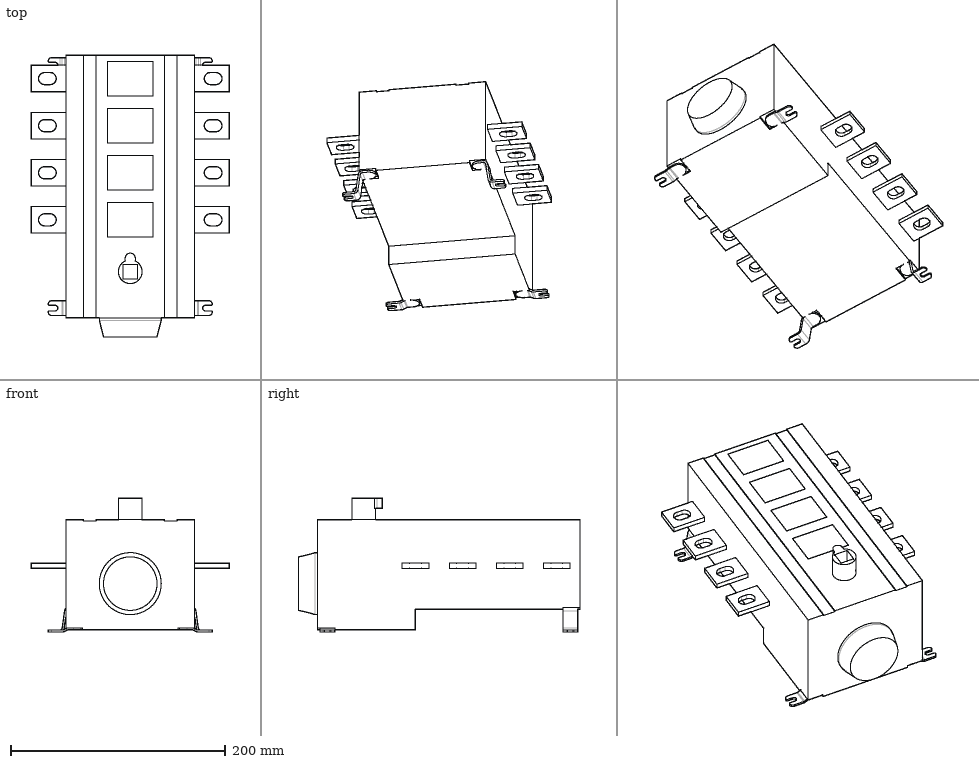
import cadquery as cq
import math

BODY_WIDTH = 120.0
BODY_LENGTH = 245.3
BODY_HEIGHT = 103.0
STRIP = 2.0
BODY_BOTTOM = STRIP
BODY_TOP = BODY_BOTTOM + BODY_HEIGHT
HALF_BODY = BODY_WIDTH / 2
FRONT_BLOCK_LENGTH = 91.3
STEP_HEIGHT = 19.2
REAR_BOTTOM = BODY_BOTTOM + STEP_HEIGHT

GROOVE_INNER = 31.8
GROOVE_OUTER = 43.7
GROOVE_DEPTH = 1.0

POLE_COUNT = 4
POLE_PITCH = 44.0
FIRST_POLE_INSET = 21.8
WINDOW_WIDTH = 42.0
WINDOW_LENGTH = 32.0
WINDOW_DEPTH = 0.3
TAB_SPAN = 185.0
TAB_WIDTH = 25.0
TAB_THICKNESS = 5.0
TAB_BOTTOM = 59.5
TAB_SLOT_X = 77.5
TAB_SLOT_LENGTH = 16.3
TAB_SLOT_WIDTH = 11.0

SHAFT_Y = 43.2
SHAFT_RADIUS = 11.0
SHAFT_TOP = 125.0
SHAFT_HEIGHT = SHAFT_TOP - BODY_TOP
SHAFT_SQUARE = 13.2
NUB_RADIUS = 4.7
NUB_REACH = 17.5
NUB_HEIGHT = 9.5

KNOB_Z = 45.3
KNOB_LENGTH = 18.0
KNOB_RIM = 2.5
KNOB_BASE_RADIUS = 29.0
KNOB_TIP_RADIUS = 25.0

BRACKET_WIDTH = 14.0
BRACKET_INSET = 9.2
FOOT_TIP = 76.5
TONGUE_TIP = 45.8
RECESS_END = 44.5
FRONT_HEEL = 62.6
FRONT_SHOULDER = 58.5
REAR_HEEL = 62.0
REAR_SHOULDER = 59.2
BEND_RADIUS = 2.0
FOOT_SLOT_WIDTH = 5.0
FOOT_SLOT_END = 67.6
PRONG_OUTER_ROUNDING = 3.2
PRONG_INNER_ROUNDING = 1.0


def box(x_range, y_range, z_range):
    """Axis-aligned box between the given limits."""
    (x0, x1), (y0, y1), (z0, z1) = x_range, y_range, z_range
    return cq.Workplane("XY").box(x1 - x0, y1 - y0, z1 - z0, centered=False).translate((x0, y0, z0))


def both_sides(shape):
    """Shape together with its mirror image across the YZ plane."""
    return shape.union(shape.mirror("YZ"))


def edge_pair(shape, direction, points):
    """The two edges along the given direction whose midpoints lie nearest to the two points."""
    first, second = [cq.selectors.NearestToPointSelector(point) for point in points]
    return shape.edges(direction).edges(first + second)


def make_body():
    profile = [
        (0, BODY_BOTTOM),
        (FRONT_BLOCK_LENGTH, BODY_BOTTOM),
        (FRONT_BLOCK_LENGTH, REAR_BOTTOM),
        (BODY_LENGTH, REAR_BOTTOM),
        (BODY_LENGTH, BODY_TOP),
        (0, BODY_TOP),
    ]
    body = cq.Workplane("YZ").polyline(profile).close().extrude(HALF_BODY, both=True)
    groove = box((GROOVE_INNER, GROOVE_OUTER), (0, BODY_LENGTH), (BODY_TOP - GROOVE_DEPTH, BODY_TOP))
    return body.cut(both_sides(groove))


def make_window(y):
    return (
        cq.Workplane("XY", origin=(0, y, BODY_TOP - WINDOW_DEPTH))
        .rect(WINDOW_WIDTH, WINDOW_LENGTH)
        .extrude(WINDOW_DEPTH)
    )


def make_tabs(y):
    """Pair of slotted terminal tabs of one pole."""
    half_width = TAB_WIDTH / 2
    tab = box(
        (HALF_BODY, TAB_SPAN / 2),
        (y - half_width, y + half_width),
        (TAB_BOTTOM, TAB_BOTTOM + TAB_THICKNESS),
    )
    slot = (
        cq.Workplane("XY", origin=(TAB_SLOT_X, y, TAB_BOTTOM))
        .slot2D(TAB_SLOT_LENGTH, TAB_SLOT_WIDTH)
        .extrude(TAB_THICKNESS)
    )
    return both_sides(tab.cut(slot))


def make_shaft():
    """Round shaft with a square socket and a rounded pointer nub at its top."""
    base = cq.Workplane("XY", origin=(0, SHAFT_Y, BODY_TOP))
    nub_base = base.workplane(offset=SHAFT_HEIGHT - NUB_HEIGHT)
    nub_centre = NUB_REACH - NUB_RADIUS
    nub_neck = nub_base.center(0, nub_centre / 2).rect(2 * NUB_RADIUS, nub_centre).extrude(NUB_HEIGHT)
    nub_end = nub_base.center(0, nub_centre).circle(NUB_RADIUS).extrude(NUB_HEIGHT)
    socket = base.rect(SHAFT_SQUARE, SHAFT_SQUARE).extrude(SHAFT_HEIGHT)
    return base.circle(SHAFT_RADIUS).extrude(SHAFT_HEIGHT).union(nub_neck).union(nub_end).cut(socket)


def make_knob():
    half_profile = [
        (0, 0),
        (KNOB_BASE_RADIUS, 0),
        (KNOB_BASE_RADIUS, -KNOB_RIM),
        (KNOB_TIP_RADIUS, -KNOB_LENGTH),
        (0, -KNOB_LENGTH),
    ]
    knob = cq.Workplane("XY").polyline(half_profile).close().revolve(360, (0, 0), (0, 1))
    return knob.translate((0, 0, KNOB_Z))


def make_bracket(y, heel, shoulder, tongue_bottom):
    """Bent strip on the +X side: forked foot, rising web and round-ended tongue."""
    rise_angle = math.atan2(tongue_bottom, heel - shoulder)
    miter = STRIP * math.tan(rise_angle / 2)
    tongue_top = tongue_bottom + STRIP
    lower_heel = (heel, 0)
    upper_heel = (heel + miter, STRIP)
    lower_shoulder = (shoulder, tongue_bottom)
    upper_shoulder = (shoulder + miter, tongue_top)
    profile = [
        (FOOT_TIP, 0),
        lower_heel,
        lower_shoulder,
        (TONGUE_TIP, tongue_bottom),
        (TONGUE_TIP, tongue_top),
        upper_shoulder,
        upper_heel,
        (FOOT_TIP, STRIP),
    ]
    half_width = BRACKET_WIDTH / 2
    strip = cq.Workplane("XZ").polyline(profile).close().extrude(half_width, both=True)

    inside_bends = [(x, 0, z) for x, z in (upper_heel, lower_shoulder)]
    outside_bends = [(x, 0, z) for x, z in (lower_heel, upper_shoulder)]
    strip = edge_pair(strip, "|Y", inside_bends).fillet(BEND_RADIUS)
    strip = edge_pair(strip, "|Y", outside_bends).fillet(BEND_RADIUS + STRIP)

    slot_radius = FOOT_SLOT_WIDTH / 2
    outline = (
        cq.Workplane("XY")
        .moveTo(FOOT_TIP, -half_width)
        .lineTo(TONGUE_TIP + half_width, -half_width)
        .threePointArc((TONGUE_TIP, 0), (TONGUE_TIP + half_width, half_width))
        .lineTo(FOOT_TIP, half_width)
        .lineTo(FOOT_TIP, slot_radius)
        .lineTo(FOOT_SLOT_END + slot_radius, slot_radius)
        .threePointArc((FOOT_SLOT_END, 0), (FOOT_SLOT_END + slot_radius, -slot_radius))
        .lineTo(FOOT_TIP, -slot_radius)
        .close()
        .extrude(tongue_top)
    )
    mid_height = tongue_top / 2
    inner_corners = [(FOOT_TIP, side * slot_radius, mid_height) for side in (-1, 1)]
    outer_corners = [(FOOT_TIP, side * half_width, mid_height) for side in (-1, 1)]
    outline = edge_pair(outline, "|Z", inner_corners).fillet(PRONG_INNER_ROUNDING)
    outline = edge_pair(outline, "|Z", outer_corners).fillet(PRONG_OUTER_ROUNDING)
    return both_sides(strip.intersect(outline).translate((0, y, 0)))


def make_recesses(y_range, bottom):
    """Shallow pockets in the underside that take the bracket tongues."""
    return both_sides(box((RECESS_END, HALF_BODY), y_range, (bottom, bottom + STRIP)))


recess_length = BRACKET_INSET + BRACKET_WIDTH / 2

result = make_body()
result = result.cut(make_recesses((0, recess_length), BODY_BOTTOM))
result = result.cut(make_recesses((BODY_LENGTH - recess_length, BODY_LENGTH), REAR_BOTTOM))
for pole in range(POLE_COUNT):
    pole_y = BODY_LENGTH - FIRST_POLE_INSET - pole * POLE_PITCH
    result = result.cut(make_window(pole_y)).union(make_tabs(pole_y))
result = result.union(make_shaft()).union(make_knob())
result = result.union(make_bracket(BRACKET_INSET, FRONT_HEEL, FRONT_SHOULDER, BODY_BOTTOM))
result = result.union(make_bracket(BODY_LENGTH - BRACKET_INSET, REAR_HEEL, REAR_SHOULDER, REAR_BOTTOM))